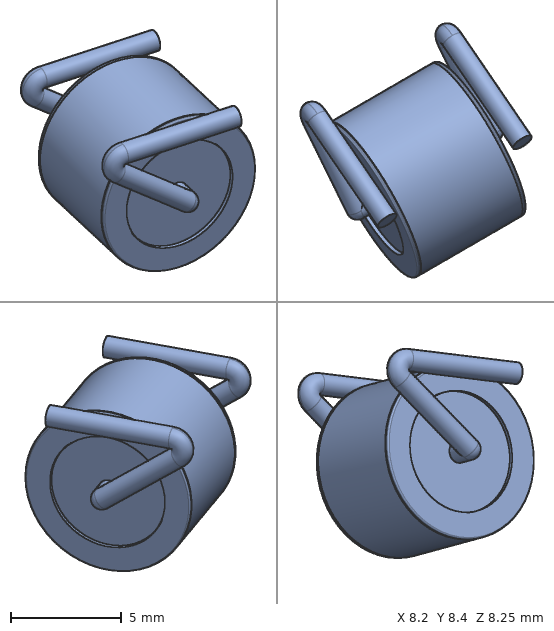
import cadquery as cq
import math

drum_diameter = 8.0
drum_length = 5.8
ring_thickness = 0.2
ring_edge_radius = 0.075
ring_bore = 5.56

wire_diameter = 1.0
lead_spacing = 7.2
leg_height = 3.75
bend_start_y = -3.4
leg_end_y = 2.545

drum_radius = drum_diameter / 2
core_length = drum_length - 2 * ring_thickness
core_end_x = core_length / 2
wire_radius = wire_diameter / 2
lead_x = lead_spacing / 2

bend_radius = wire_radius
pivot_z = leg_height - bend_radius
pivot_distance = math.hypot(bend_start_y, pivot_z)
arm_length = math.sqrt(pivot_distance ** 2 - bend_radius ** 2)
arm_angle = math.atan2(pivot_z, -bend_start_y) - math.asin(bend_radius / pivot_distance)
arm_direction = cq.Vector(0, -math.cos(arm_angle), math.sin(arm_angle))
bend_angle = 180 - math.degrees(arm_angle)


def make_core():
    return cq.Workplane("YZ", origin=(-core_length / 2, 0, 0)).circle(drum_radius).extrude(core_length)


def make_end_ring():
    """Ring on the +X end face of the core, with both outer rim edges rounded."""
    disc = (
        cq.Workplane("YZ", origin=(core_end_x, 0, 0))
        .circle(drum_radius)
        .extrude(ring_thickness)
        .edges()
        .fillet(ring_edge_radius)
    )
    return disc.faces(">X").workplane().hole(ring_bore)


def make_lead():
    """Lead on the +X end: stub, ball corner, sloping arm, bend and straight leg."""
    corner = cq.Vector(lead_x, 0, 0)
    stub = cq.Workplane("YZ", origin=(core_end_x, 0, 0)).circle(wire_radius).extrude(lead_x - core_end_x)
    ball = cq.Workplane("XY", origin=corner.toTuple()).sphere(wire_radius)
    arm = cq.Workplane(cq.Plane(corner, (1, 0, 0), arm_direction)).circle(wire_radius).extrude(arm_length)
    leg_plane = cq.Workplane("ZX", origin=(lead_x, bend_start_y, leg_height))
    leg = leg_plane.circle(wire_radius).extrude(leg_end_y - bend_start_y)
    bend = (
        leg_plane
        .moveTo(-wire_radius, 0)
        .threePointArc((0, wire_radius), (wire_radius, 0))
        .threePointArc((0, -wire_radius), (-wire_radius, 0))
        .close()
        .revolve(bend_angle, (-bend_radius, 0), (-bend_radius, 1))
    )
    return stub.union(ball).union(arm).union(bend).union(leg)


core = make_core()
end_ring = make_end_ring()
lead = make_lead()
bodies = [core.val()]
for end_body in (end_ring, lead):
    bodies.append(end_body.solids().val())
    bodies.append(end_body.mirror("YZ").solids().val())

result = cq.Compound.makeCompound(bodies)